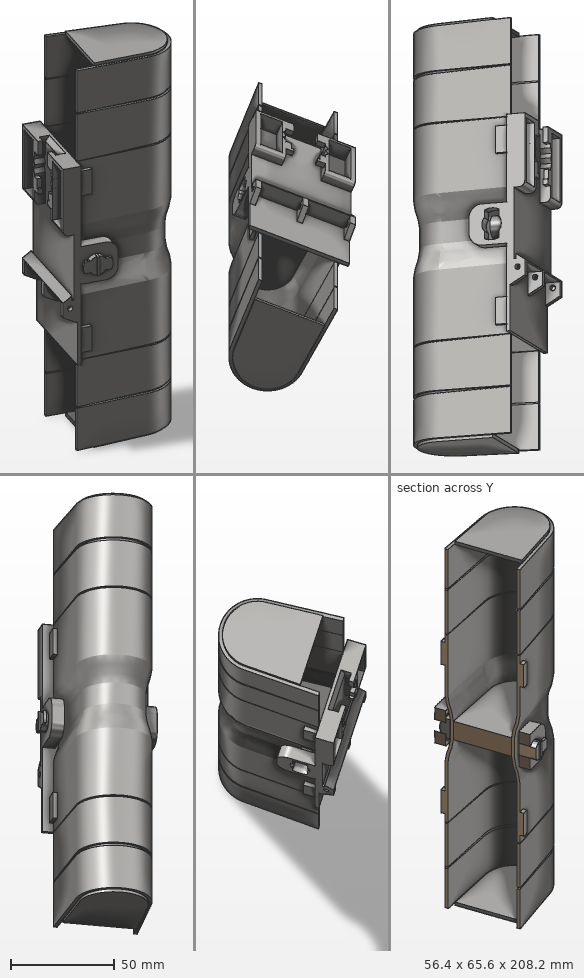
import cadquery as cq
import math


FOOT_HALF_WIDTH = 20.8
ARCH_RADIUS = 18.7
CROWN_HEIGHT = 56.2
ARCH_CENTER_Y = CROWN_HEIGHT - ARCH_RADIUS
WALL = 1.9

MIDDLE_HALF_LENGTH = 53.7
WAIST_HALF_LENGTH = 5.5
WAIST_TAPER_END = 19.0
WAIST_DEPTH = 3.0
TAPER_STEPS = 4
TAB_HEIGHT = 7.0
TAB_HALF_SPAN = 22.7
TAB_Z_LOW = 35.8
TAB_LENGTH = 13.3
RELIEF_HEIGHT = 1.9
RELIEF_LENGTH = 1.2

HALF_LENGTH = 104.1
JOINT_Z = 80.0
GROOVE_DEPTH = 1.5
START_GAP = 0.2
START_TAPER = 0.6
END_GAP = 0.6
END_TAPER = 1.0
END_OPENING = 10.0
BOSS_HEIGHT = 1.5

BASE_HALF_WIDTH = 26.2
BASE_FRONT = -9.4
PLATE_THICK = 3.7
PLATE_THIN = 1.9

JAW_BOTTOM = 17.3
JAW_ROUND = 3.0
LIP_THICK = 2.5
CHANNEL_HALF_WIDTH = 10.5
MOUTH_HALF_WIDTH = 6.2
STOP_HALF_WIDTH = 7.5
TOOTH_HALF_WIDTH = 11.7
MOUTH_BOTTOM = 46.0
TOOTH_Z = (41.7, 36.7)
TOOTH_HALF_PITCH = 2.5
STOP_TOP = 33.0
STOP_STEP = 28.0
STOP_BOTTOM = 25.2
LEAD_IN_DEPTH = 2.0
LEAD_IN_LENGTH = 3.0
POCKET_INNER_X = 12.3
POCKET_OUTER_X = 23.7
POCKET_BOTTOM = 19.8
POCKET_TOP = 51.6

BAR_TOP = -15.6
BAR_SHOULDER = -18.1
BAR_FACE_TOP = -18.7
BAR_BOTTOM = -19.5
BAR_LIP_Y = -4.8
RIB_STRAIGHT_END = -26.7
RIB_BOTTOM = -30.8
RIB_WIDTH = 3.0
PIN_HOLE_DIAMETER = 2.7
PIN_HOLE_Y = -5.6
PIN_HOLE_Z = -22.3

LUG_THICK = 6.2
LUG_HEIGHT = 19.4
LUG_HALF_LENGTH = 10.2
LUG_ROUND = 6.5
KEY_Y = 7.7
SHANK_RADIUS = 5.0
KEYHOLE_REACH = 8.0
KEYHOLE_HALF_WIDTH = 3.7
WING_REACH = 7.7
WING_HALF_WIDTH = 3.1
WING_START = 28.0
KEY_FACE = 29.4
KEY_END = 30.2
BLADE_THICK = 1.2

BARREL_RADIUS = 5.6
BARREL_AXIS_X = -18.0
BARREL_Y_LOW = 4.0
BARREL_LENGTH = 5.6


def box(x0, x1, y0, y1, z0, z1):
    return cq.Workplane("XY").box(x1 - x0, y1 - y0, z1 - z0, centered=False).translate((x0, y0, z0))


def side_prism(points, x0, x1):
    """Polygon of (y, z) points extruded from x0 to x1."""
    return cq.Workplane("YZ").polyline(points).close().extrude(x1 - x0).translate((x0, 0, 0))


def disc(radius, x0, x1):
    """Cylinder on the key axis."""
    return cq.Workplane("YZ").center(KEY_Y, 0).circle(radius).extrude(x1 - x0).translate((x0, 0, 0))


def arch_outline(inset, z):
    """Closed arch with drafted legs, offset inward from the outer surface."""
    radius = ARCH_RADIUS - inset
    foot = FOOT_HALF_WIDTH - inset
    return (cq.Workplane("XY", origin=(0, 0, z))
            .moveTo(-foot, 0)
            .lineTo(foot, 0)
            .lineTo(radius, ARCH_CENTER_Y)
            .threePointArc((0, ARCH_CENTER_Y + radius), (-radius, ARCH_CENTER_Y))
            .close())


def arch_prism(inset, z0, z1):
    return arch_outline(inset, z0).extrude(z1 - z0)


def waisted_arch(inset):
    """Arch over the middle section that narrows smoothly to a waist at mid length."""
    straight = arch_prism(inset, WAIST_TAPER_END, MIDDLE_HALF_LENGTH)
    sections = []
    for step in range(TAPER_STEPS + 1):
        share = step / TAPER_STEPS
        depth = WAIST_DEPTH * (1 + math.cos(math.pi * share)) / 2
        z = WAIST_HALF_LENGTH + share * (WAIST_TAPER_END - WAIST_HALF_LENGTH)
        sections.append(arch_outline(inset + depth, z).val())
    taper = cq.Workplane(cq.Solid.makeLoft(sections))
    waist = arch_prism(inset + WAIST_DEPTH, -WAIST_HALF_LENGTH, WAIST_HALF_LENGTH)
    half = straight.union(taper)
    return waist.union(half).union(half.mirror("XY"))


def inner_section():
    """Break-off section with tapered ends that leave a groove on either side."""
    start = MIDDLE_HALF_LENGTH + START_GAP
    end = JOINT_Z - END_GAP
    profile = side_prism([(0, start), (CROWN_HEIGHT, start + START_TAPER),
                          (CROWN_HEIGHT, end - END_TAPER), (0, end)],
                         -FOOT_HALF_WIDTH, FOOT_HALF_WIDTH)
    return arch_prism(0, MIDDLE_HALF_LENGTH, JOINT_Z).intersect(profile)


def sloped_end(inset, z_start, y_low, drop):
    """Arch from z_start to a sloping end face, a given drop below the tip of the end boss."""
    slope = END_TAPER / CROWN_HEIGHT
    low_z = HALF_LENGTH - drop + slope * (END_OPENING - y_low)
    high_z = HALF_LENGTH - drop - slope * (CROWN_HEIGHT - END_OPENING)
    profile = side_prism([(y_low, z_start), (CROWN_HEIGHT, z_start),
                          (CROWN_HEIGHT, high_z), (y_low, low_z)],
                         -FOOT_HALF_WIDTH, FOOT_HALF_WIDTH)
    return arch_prism(inset, z_start, HALF_LENGTH).intersect(profile)


def end_sections():
    """Both break-off sections of one end, hollow, with an end wall that is open near the feet."""
    neck = arch_prism(GROOVE_DEPTH, MIDDLE_HALF_LENGTH, JOINT_Z)
    outer_section = sloped_end(0, JOINT_Z, 0, BOSS_HEIGHT)
    boss = sloped_end(WALL, JOINT_Z, END_OPENING, 0)
    room = sloped_end(WALL, MIDDLE_HALF_LENGTH, 0, WALL)
    foot_opening = arch_prism(WALL, JOINT_Z, HALF_LENGTH).intersect(
        box(-FOOT_HALF_WIDTH, FOOT_HALF_WIDTH, 0, END_OPENING, JOINT_Z, HALF_LENGTH))
    sections = neck.union(inner_section()).union(outer_section).union(boss)
    return sections.cut(room).cut(foot_opening)


def make_cover():
    cover = waisted_arch(0)
    for z0 in (TAB_Z_LOW, -TAB_Z_LOW - TAB_LENGTH):
        cover = cover.union(box(-TAB_HALF_SPAN, TAB_HALF_SPAN, 0, TAB_HEIGHT, z0, z0 + TAB_LENGTH))
    barrel = (cq.Workplane("XZ", origin=(BARREL_AXIS_X, BARREL_Y_LOW, 0))
              .circle(BARREL_RADIUS).extrude(-BARREL_LENGTH))
    cover = cover.union(barrel).cut(waisted_arch(WALL))
    for z0 in (LUG_HALF_LENGTH, -LUG_HALF_LENGTH - RELIEF_LENGTH):
        relief = box(-FOOT_HALF_WIDTH, FOOT_HALF_WIDTH, 0, RELIEF_HEIGHT, z0, z0 + RELIEF_LENGTH)
        cover = cover.cut(relief)
    end = end_sections()
    return cover.union(end).union(end.mirror("XY"))


def make_core():
    """Solid block that fills the waist of the cover."""
    return arch_prism(WAIST_DEPTH + WALL, -WAIST_HALF_LENGTH, WAIST_HALF_LENGTH)


def jaw_opening():
    """Toothed mouth between the two jaw blocks."""
    half = [(MOUTH_HALF_WIDTH, MIDDLE_HALF_LENGTH), (MOUTH_HALF_WIDTH, MOUTH_BOTTOM),
            (CHANNEL_HALF_WIDTH, MOUTH_BOTTOM)]
    for tooth_z in TOOTH_Z:
        half += [(CHANNEL_HALF_WIDTH, tooth_z + TOOTH_HALF_PITCH), (TOOTH_HALF_WIDTH, tooth_z)]
    half += [(CHANNEL_HALF_WIDTH, TOOTH_Z[-1] - TOOTH_HALF_PITCH), (CHANNEL_HALF_WIDTH, STOP_TOP),
             (STOP_HALF_WIDTH, STOP_TOP), (STOP_HALF_WIDTH, STOP_STEP),
             (MOUTH_HALF_WIDTH, STOP_STEP), (MOUTH_HALF_WIDTH, STOP_BOTTOM),
             (CHANNEL_HALF_WIDTH, STOP_BOTTOM), (CHANNEL_HALF_WIDTH, JAW_BOTTOM)]
    mirrored = [(-x, z) for x, z in reversed(half)]
    return (cq.Workplane("XZ", origin=(0, -PLATE_THICK, 0))
            .polyline(half + mirrored).close().extrude(-BASE_FRONT - PLATE_THICK))


def make_jaw():
    jaw = box(-BASE_HALF_WIDTH, BASE_HALF_WIDTH, BASE_FRONT, -PLATE_THICK, JAW_BOTTOM, MIDDLE_HALF_LENGTH)
    jaw = jaw.edges("|X and <Y and <Z").fillet(JAW_ROUND)
    channel = box(-CHANNEL_HALF_WIDTH, CHANNEL_HALF_WIDTH, BASE_FRONT + LIP_THICK, -PLATE_THICK,
                  JAW_BOTTOM, MIDDLE_HALF_LENGTH)
    return jaw.cut(jaw_opening()).cut(channel)


def jaw_pocket(x0):
    """Rectangular pocket that runs through a jaw block into the plate."""
    return box(x0, x0 + POCKET_OUTER_X - POCKET_INNER_X, BASE_FRONT, -PLATE_THIN,
               POCKET_BOTTOM, POCKET_TOP)


def make_rail_bar():
    """Undercut bar across the base, with three ribs drilled for a pin."""
    bar = side_prism([(-PLATE_THIN, BAR_SHOULDER), (BAR_LIP_Y, BAR_SHOULDER), (BAR_LIP_Y, BAR_TOP),
                      (BASE_FRONT, BAR_FACE_TOP), (BASE_FRONT, BAR_BOTTOM), (-PLATE_THIN, BAR_BOTTOM)],
                     -BASE_HALF_WIDTH, BASE_HALF_WIDTH)
    for x0 in (-BASE_HALF_WIDTH, -RIB_WIDTH / 2, BASE_HALF_WIDTH - RIB_WIDTH):
        rib = side_prism([(-PLATE_THIN, BAR_BOTTOM), (BASE_FRONT, BAR_BOTTOM),
                          (BASE_FRONT, RIB_STRAIGHT_END), (-PLATE_THIN, RIB_BOTTOM)],
                         x0, x0 + RIB_WIDTH)
        bar = bar.union(rib)
    pin_hole = (cq.Workplane("YZ", origin=(-BASE_HALF_WIDTH, PIN_HOLE_Y, PIN_HOLE_Z))
                .circle(PIN_HOLE_DIAMETER / 2).extrude(2 * BASE_HALF_WIDTH))
    return bar.cut(pin_hole)


def make_lug(x0):
    lug = box(x0, x0 + LUG_THICK, 0, LUG_HEIGHT, -LUG_HALF_LENGTH, LUG_HALF_LENGTH)
    return lug.edges("|X and >Y").fillet(LUG_ROUND)


def keyhole():
    """Round hole with two arc-ended slots along Z, in the lug on the -X side."""
    x0 = -BASE_HALF_WIDTH
    x1 = x0 + LUG_THICK
    slot = disc(KEYHOLE_REACH, x0, x1).intersect(
        box(x0, x1, KEY_Y - KEYHOLE_HALF_WIDTH, KEY_Y + KEYHOLE_HALF_WIDTH,
            -KEYHOLE_REACH, KEYHOLE_REACH))
    return disc(SHANK_RADIUS, x0, x1).union(slot)


def make_base():
    base = box(-BASE_HALF_WIDTH, BASE_HALF_WIDTH, -PLATE_THIN, 0, -MIDDLE_HALF_LENGTH, MIDDLE_HALF_LENGTH)
    base = base.union(box(-BASE_HALF_WIDTH, BASE_HALF_WIDTH, -PLATE_THICK, 0,
                          BAR_SHOULDER, MIDDLE_HALF_LENGTH))
    base = base.union(make_jaw()).union(make_rail_bar())
    lead_in = side_prism([(-PLATE_THICK, MIDDLE_HALF_LENGTH - LEAD_IN_LENGTH),
                          (-PLATE_THICK, MIDDLE_HALF_LENGTH),
                          (LEAD_IN_DEPTH - PLATE_THICK, MIDDLE_HALF_LENGTH)],
                         -CHANNEL_HALF_WIDTH, CHANNEL_HALF_WIDTH)
    base = base.cut(lead_in)
    for x0 in (POCKET_INNER_X, -POCKET_OUTER_X):
        base = base.cut(jaw_pocket(x0))
    key_lug_x = BASE_HALF_WIDTH - LUG_THICK
    base = base.union(make_lug(-BASE_HALF_WIDTH)).union(make_lug(key_lug_x))
    return base.cut(keyhole()).cut(disc(SHANK_RADIUS, key_lug_x, BASE_HALF_WIDTH))


def make_key():
    """Round shank with two arc-ended wings along Y and a raised blade on its end."""
    shank = disc(SHANK_RADIUS, BASE_HALF_WIDTH - LUG_THICK, KEY_FACE)
    wings = disc(WING_REACH, WING_START, KEY_FACE).intersect(
        box(WING_START, KEY_FACE, KEY_Y - WING_REACH, KEY_Y + WING_REACH,
            -WING_HALF_WIDTH, WING_HALF_WIDTH))
    blade = box(BASE_HALF_WIDTH, KEY_END, KEY_Y - BLADE_THICK / 2, KEY_Y + BLADE_THICK / 2,
                -SHANK_RADIUS, SHANK_RADIUS)
    return shank.union(wings).union(blade)


cover = make_cover()
core = make_core()
base = make_base()
key = make_key()

result = cq.Compound.makeCompound([cover.val(), core.val(), base.val(), key.val()])